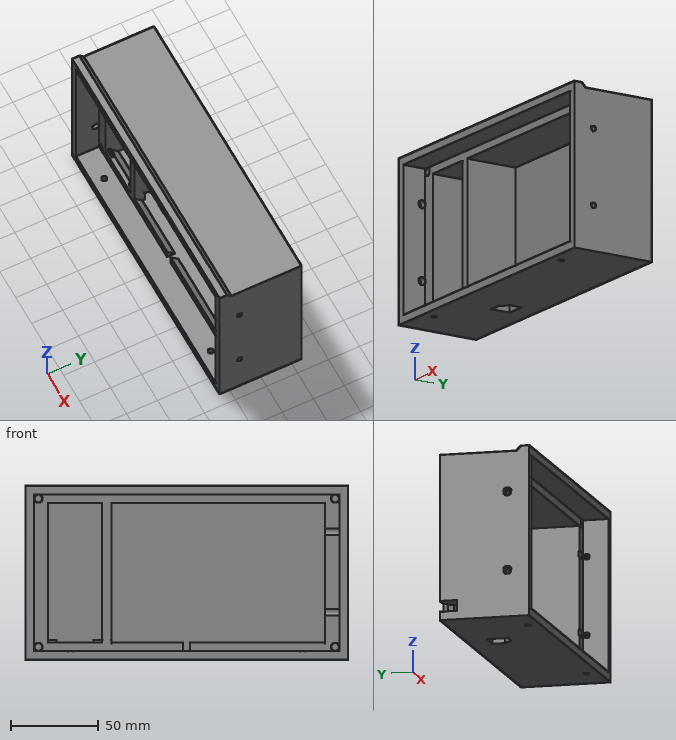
import cadquery as cq

LENGTH, DEPTH, HEIGHT = 185.0, 53.0, 100.0
WALL = 5.0

LIP_WIDTH = 4.8
LIP_DROP = 2.8

LEDGE_Y = 15.0
RIM_HEIGHT = 10.0
FLOOR_Z = WALL
CEILING_Z = HEIGHT - RIM_HEIGHT
BACK_Y = DEPTH - WALL
SMALL_LEFT, SMALL_RIGHT = 13.0, 44.0
MAIN_LEFT, MAIN_RIGHT = 49.2, 171.7
SMALL_RIM_WIDTH = 3.3
MAIN_RIM_WIDTH = 0.0

STOP_LENGTH = 5.0
STOP_HEIGHT = 1.3

CABLE_TOP = 11.3
RIM_NOTCH_LEFT, RIM_NOTCH_WIDTH = 90.3, 4.0
PARTITION_OPENING_FRONT, PARTITION_OPENING_BACK = 16.7, 24.0
CORNER_OPENING_WIDTH = 10.2
CORNER_SLOPE = 2.8
CORNER_ARC_RADIUS = DEPTH - BACK_Y - CORNER_SLOPE
FLOOR_HOLE_LEFT, FLOOR_HOLE_RIGHT = 55.9, 68.5
FLOOR_HOLE_FRONT, FLOOR_HOLE_BACK = 27.0, 39.6
FLOOR_HOLE_CHAMFER = 5.2

LARGE_DIAMETER, SMALL_DIAMETER = 4.6, 3.1
CORNER_HOLE_INSET = 7.4
CORNER_HOLE_DEPTH = 9.3
SIDE_HOLE_Y = 13.0
GROOVE_DIAMETER = 5.5
SIDE_HOLE_HEIGHTS = (27.4, 73.5)
BOTTOM_HOLE_INSET = 26.0
BOTTOM_HOLE_Y = 7.5


def block(x_range, y_range, z_range):
    """Axis-aligned block between the given limits."""
    sizes = [high - low for low, high in (x_range, y_range, z_range)]
    corner = (x_range[0], y_range[0], z_range[0])
    return cq.Workplane("XY").box(*sizes, centered=False).translate(corner)


def plan_prism(outline, bottom, top):
    """Vertical prism over an outline in X and Y."""
    return cq.Workplane("XY", origin=(0, 0, bottom)).polyline(outline).close().extrude(top - bottom)


def cylinder(diameter, length, start, direction):
    """Cylinder that begins at a point and runs along a direction."""
    return cq.Workplane(cq.Solid.makeCylinder(diameter / 2, length, cq.Vector(*start), cq.Vector(*direction)))


def outer_body():
    """Solid box whose top steps up to a sloped lip at the front."""
    top = HEIGHT - LIP_DROP
    profile = [
        (0, 0), (DEPTH, 0), (DEPTH, top), (LIP_WIDTH + LIP_DROP, top), (LIP_WIDTH, HEIGHT), (0, HEIGHT),
    ]
    return cq.Workplane("YZ").polyline(profile).close().extrude(LENGTH)


def compartment(left, right, rim_width):
    """Cavity whose floor drops at 45 degrees behind the front rim."""
    rim_back = LEDGE_Y + rim_width
    slope_end = rim_back + RIM_HEIGHT - FLOOR_Z
    profile = [(LEDGE_Y, CEILING_Z), (LEDGE_Y, RIM_HEIGHT)]
    if rim_width > 0:
        profile.append((rim_back, RIM_HEIGHT))
    profile += [(slope_end, FLOOR_Z), (BACK_Y, FLOOR_Z), (BACK_Y, CEILING_Z)]
    return cq.Workplane("YZ").polyline(profile).close().extrude(right - left).translate((left, 0, 0))


def cut_cavities(body):
    recess = block((WALL, LENGTH - WALL), (0, LEDGE_Y), (WALL, HEIGHT - WALL))
    body = body.cut(recess)
    body = body.cut(compartment(SMALL_LEFT, SMALL_RIGHT, SMALL_RIM_WIDTH))
    return body.cut(compartment(MAIN_LEFT, MAIN_RIGHT, MAIN_RIM_WIDTH))


def add_rim_stops(body):
    """Low blocks at both ends of the small compartment's rim."""
    for left in (SMALL_LEFT, SMALL_RIGHT - STOP_LENGTH):
        stop = block(
            (left, left + STOP_LENGTH),
            (LEDGE_Y + SMALL_RIM_WIDTH / 2, LEDGE_Y + SMALL_RIM_WIDTH),
            (RIM_HEIGHT, RIM_HEIGHT + STOP_HEIGHT),
        )
        body = body.union(stop)
    return body


def cut_cable_openings(body):
    rim_notch = block(
        (RIM_NOTCH_LEFT, RIM_NOTCH_LEFT + RIM_NOTCH_WIDTH),
        (LEDGE_Y, LEDGE_Y + RIM_HEIGHT - FLOOR_Z),
        (FLOOR_Z, RIM_HEIGHT),
    )
    skew = MAIN_LEFT - SMALL_RIGHT
    passage_outline = [
        (SMALL_RIGHT, PARTITION_OPENING_FRONT), (MAIN_LEFT, PARTITION_OPENING_FRONT + skew),
        (MAIN_LEFT, PARTITION_OPENING_BACK + skew), (SMALL_RIGHT, PARTITION_OPENING_BACK),
    ]
    passage = plan_prism(passage_outline, FLOOR_Z, CABLE_TOP)
    corner_front = DEPTH - CORNER_OPENING_WIDTH
    slope_end_x = SMALL_LEFT - CORNER_SLOPE
    corner_exit = (
        cq.Workplane("XY", origin=(0, 0, FLOOR_Z))
        .moveTo(0, corner_front)
        .lineTo(SMALL_LEFT, corner_front)
        .lineTo(SMALL_LEFT, BACK_Y)
        .lineTo(slope_end_x, BACK_Y + CORNER_SLOPE)
        .radiusArc((slope_end_x - CORNER_ARC_RADIUS, DEPTH), CORNER_ARC_RADIUS)
        .lineTo(0, DEPTH)
        .close()
        .extrude(CABLE_TOP - FLOOR_Z)
    )
    floor_hole_outline = [
        (FLOOR_HOLE_LEFT, FLOOR_HOLE_FRONT), (FLOOR_HOLE_RIGHT - FLOOR_HOLE_CHAMFER, FLOOR_HOLE_FRONT),
        (FLOOR_HOLE_RIGHT, FLOOR_HOLE_FRONT + FLOOR_HOLE_CHAMFER), (FLOOR_HOLE_RIGHT, FLOOR_HOLE_BACK),
        (FLOOR_HOLE_LEFT, FLOOR_HOLE_BACK),
    ]
    floor_hole = plan_prism(floor_hole_outline, 0, FLOOR_Z)
    return body.cut(rim_notch).cut(passage).cut(corner_exit).cut(floor_hole)


def cut_screw_holes(body):
    for x in (CORNER_HOLE_INSET, LENGTH - CORNER_HOLE_INSET):
        for z in (CORNER_HOLE_INSET, HEIGHT - CORNER_HOLE_INSET):
            body = body.cut(cylinder(LARGE_DIAMETER, CORNER_HOLE_DEPTH, (x, LEDGE_Y, z), (0, 1, 0)))
    for z in SIDE_HOLE_HEIGHTS:
        inner_right = LENGTH - WALL
        body = body.cut(cylinder(LARGE_DIAMETER, WALL, (0, SIDE_HOLE_Y, z), (1, 0, 0)))
        body = body.cut(
            cylinder(GROOVE_DIAMETER, inner_right - MAIN_RIGHT, (MAIN_RIGHT, SIDE_HOLE_Y, z), (1, 0, 0))
        )
        body = body.cut(cylinder(SMALL_DIAMETER, WALL, (inner_right, SIDE_HOLE_Y, z), (1, 0, 0)))
    for x in (BOTTOM_HOLE_INSET, LENGTH - BOTTOM_HOLE_INSET):
        body = body.cut(cylinder(SMALL_DIAMETER, WALL, (x, BOTTOM_HOLE_Y, 0), (0, 0, 1)))
    return body


result = cut_cavities(outer_body())
result = add_rim_stops(result)
result = cut_cable_openings(result)
result = cut_screw_holes(result)